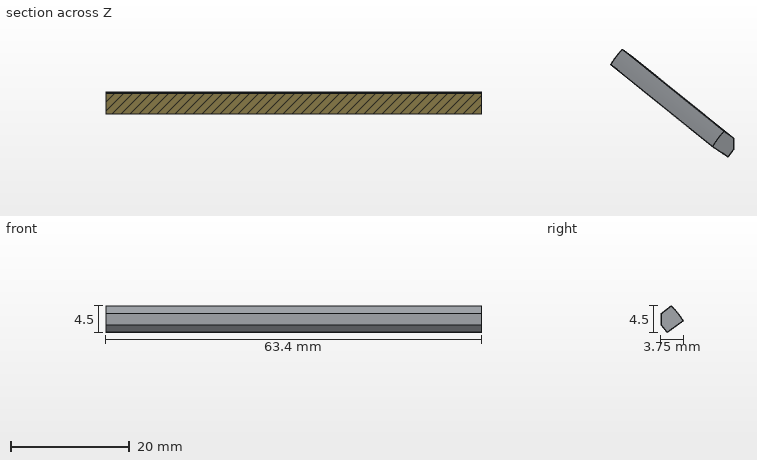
import cadquery as cq

length = 63.4
depth = 3.75
height = 4.5

ridge_y = 1.7
keel_y = 1.0
back_edge_z = 1.95
flat_bottom_z = 1.25
flat_top_z = 3.2

back_bulge = 0.095

section = (
    cq.Workplane("YZ")
    .moveTo(ridge_y, height)
    .lineTo(0, flat_top_z)
    .lineTo(0, flat_bottom_z)
    .lineTo(keel_y, 0)
    .lineTo(depth, back_edge_z)
    .sagittaArc((ridge_y, height), -back_bulge)
    .close()
)

result = section.extrude(length).translate((-length / 2, -depth / 2, -height / 2))